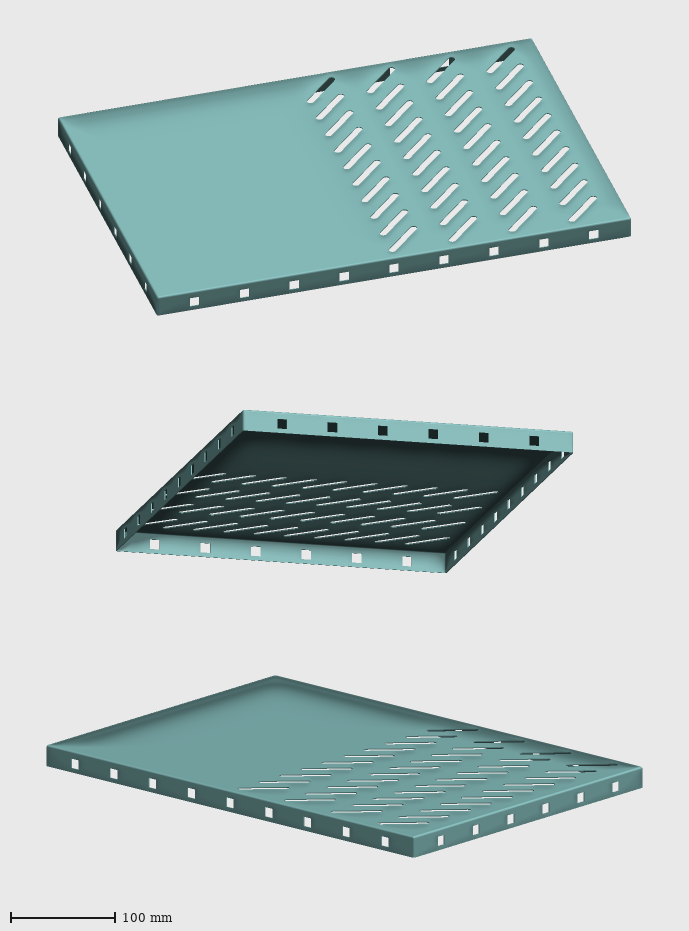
import cadquery as cq

WIDTH = 328.0
LENGTH = 475.0
HEIGHT = 21.0

SHEET = 1.0
BEND_INNER_RADIUS = 1.0
BEND_OUTER_RADIUS = BEND_INNER_RADIUS + SHEET

SQUARE_SIZE = 9.5
SQUARE_PITCH = 50.0
SQUARE_CENTRE_Z = 9.0
END_HOLE_COUNT = 6
SIDE_HOLE_COUNT = 9

SLOT_LENGTH = 50.0
SLOT_WIDTH = 7.0
SLOT_ANGLE = -45.0
SLOT_COLUMNS = 10
SLOT_ROWS = 4
SLOT_COLUMN_PITCH = 30.0
SLOT_ROW_PITCH = 60.0
FIRST_ROW_TO_EDGE = 40.0


def rounded_block(size_x, size_y, size_z, radius):
    """Block standing on Z = 0 with rounded top and vertical edges."""
    block = cq.Workplane("XY").box(size_x, size_y, size_z, centered=(True, True, False))
    return block.edges("|Z or >Z").fillet(radius)


def folded_sheet():
    """Open-bottomed tray with rounded outer and inner edges."""
    outer = rounded_block(WIDTH, LENGTH, HEIGHT, BEND_OUTER_RADIUS)
    cavity = rounded_block(WIDTH - 2 * SHEET, LENGTH - 2 * SHEET, HEIGHT - SHEET, BEND_INNER_RADIUS)
    return outer.cut(cavity)


def centred_row(count, pitch):
    """Evenly spaced positions about zero."""
    return [(i - (count - 1) / 2) * pitch for i in range(count)]


def flange_holes():
    """Square bars that pierce each pair of opposite flanges."""
    end_points = [(x, SQUARE_CENTRE_Z) for x in centred_row(END_HOLE_COUNT, SQUARE_PITCH)]
    side_points = [(y, SQUARE_CENTRE_Z) for y in centred_row(SIDE_HOLE_COUNT, SQUARE_PITCH)]
    end_bars = (
        cq.Workplane("XZ")
        .pushPoints(end_points)
        .rect(SQUARE_SIZE, SQUARE_SIZE)
        .extrude(LENGTH, both=True)
    )
    side_bars = (
        cq.Workplane("YZ")
        .pushPoints(side_points)
        .rect(SQUARE_SIZE, SQUARE_SIZE)
        .extrude(WIDTH, both=True)
    )
    return end_bars.union(side_bars)


def vent_slots():
    """Rows of slanted slots near the +Y end of the panel."""
    first_row_y = LENGTH / 2 - FIRST_ROW_TO_EDGE
    points = [
        (x, first_row_y - row * SLOT_ROW_PITCH)
        for row in range(SLOT_ROWS)
        for x in centred_row(SLOT_COLUMNS, SLOT_COLUMN_PITCH)
    ]
    return (
        cq.Workplane("XY")
        .pushPoints(points)
        .slot2D(SLOT_LENGTH, SLOT_WIDTH, SLOT_ANGLE)
        .extrude(HEIGHT)
    )


result = folded_sheet().cut(flange_holes()).cut(vent_slots())